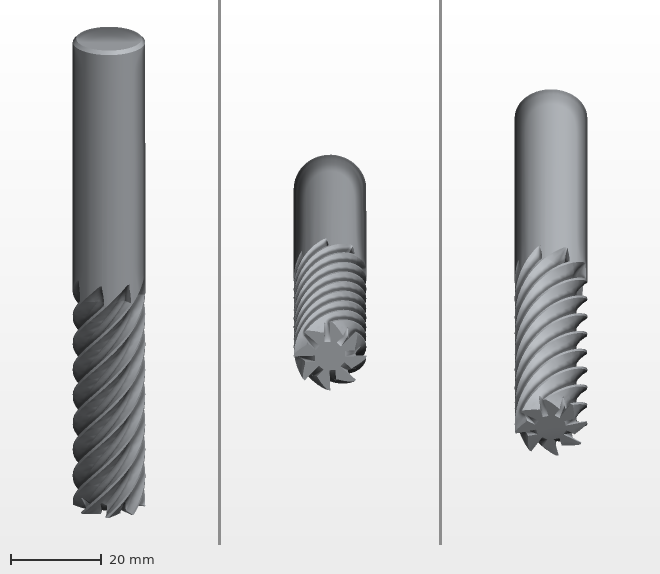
import cadquery as cq
import math

overall_length = 110.0
cutter_diameter = 16.0
cutting_length = 50.0
shank_chamfer = 0.8

flute_count = 8
helix_angle = 45.0

land_angle = 5.5
heel_radius = 6.8
heel_angle = 16.0
root_radius = 5.8
root_angle = 28.0
gullet_radius = 5.6
gullet_angle = 38.0
rake_foot_radius = 5.8
rake_foot_angle = 44.0

gash_inner_radius = 3.3
gash_top_radius = 6.6
gash_width = 1.3
gash_height = 3.0
gash_reach = 0.2
gash_clearance = 0.5

runout_length = 4.5
runout_steps = 4
runout_tip_angle = 4.0
runout_wall_lean = 5.0
runout_clearance = 1.6

cutter_radius = cutter_diameter / 2
flute_pitch = 360.0 / flute_count
lead = math.pi * cutter_diameter / math.tan(math.radians(helix_angle))


def twist_at(height):
    """Angle through which the flutes have turned at a height, in degrees."""
    return 360.0 * height / lead


def polar(radius, angle):
    """Cartesian X and Y of a point given by radius and angle in degrees."""
    turn = math.radians(angle)
    return (radius * math.cos(turn), radius * math.sin(turn))


def around_axis(solid):
    """Copies of a solid, one for each flute."""
    return [solid.rotate((0, 0, 0), (0, 0, 1), flute * flute_pitch) for flute in range(flute_count)]


def make_gash():
    """Slot in the end in front of one tooth, its inner wall sloping outward to the top."""
    outside = cutter_radius + gash_clearance
    profile = [
        (gash_inner_radius, 0),
        (outside, 0),
        (outside, gash_height),
        (gash_top_radius, gash_height),
    ]
    gash = cq.Workplane("XZ", origin=(0, gash_reach, 0)).polyline(profile).close().extrude(gash_width)
    return gash.val()


def make_cutter():
    """Fluted cutting part: the toothed section twisted along the axis, with gashes in its end."""
    section = cq.Workplane("XY").moveTo(*polar(cutter_radius, 0))
    for tooth in range(flute_count):
        start = tooth * flute_pitch
        section = (
            section.threePointArc(
                polar(cutter_radius, start + land_angle / 2),
                polar(cutter_radius, start + land_angle),
            )
            .threePointArc(
                polar(heel_radius, start + heel_angle),
                polar(root_radius, start + root_angle),
            )
            .threePointArc(
                polar(gullet_radius, start + gullet_angle),
                polar(rake_foot_radius, start + rake_foot_angle),
            )
            .lineTo(*polar(cutter_radius, start + flute_pitch))
        )
    body = section.close().twistExtrude(cutting_length, twist_at(cutting_length))
    gashes = around_axis(make_gash())
    return cq.Workplane(body.val().cut(*gashes)).solids()


def runout_section(rise):
    """Flute outline at a fraction of the runout: it narrows toward its back and gets shallower."""
    height = cutting_length + rise * runout_length
    depth_left = 1 - rise**2
    back = twist_at(height) + land_angle
    leaning_wall = twist_at(cutting_length) + flute_pitch - runout_wall_lean * rise**2
    wall = max(leaning_wall, back + runout_tip_angle)
    narrowing = (wall - back) / (flute_pitch - land_angle)

    def place(radius, angle):
        shallow_radius = cutter_radius - (cutter_radius - radius) * depth_left
        x, y = polar(shallow_radius, back + (angle - land_angle) * narrowing)
        return cq.Vector(x, y, height)

    def place_outside(angle):
        x, y = polar(cutter_radius + runout_clearance, angle)
        return cq.Vector(x, y, height)

    back_edge = place(cutter_radius, land_angle)
    heel = place(heel_radius, heel_angle)
    root = place(root_radius, root_angle)
    gullet = place(gullet_radius, gullet_angle)
    rake_foot = place(rake_foot_radius, rake_foot_angle)
    wall_edge = place(cutter_radius, flute_pitch)
    outer_wall = place_outside(wall)
    outer_back = place_outside(back)
    return cq.Wire.assembleEdges(
        [
            cq.Edge.makeThreePointArc(back_edge, heel, root),
            cq.Edge.makeThreePointArc(root, gullet, rake_foot),
            cq.Edge.makeLine(rake_foot, wall_edge),
            cq.Edge.makeLine(wall_edge, outer_wall),
            cq.Edge.makeLine(outer_wall, outer_back),
            cq.Edge.makeLine(outer_back, back_edge),
        ]
    )


def make_runout():
    """Void at the top of one flute, lofted from full depth up to the surface."""
    sections = [runout_section(step / runout_steps) for step in range(runout_steps + 1)]
    return cq.Solid.makeLoft(sections)


def make_shank():
    """Plain round shank with a chamfered top, and the ends of the flutes cut into its bottom."""
    body = (
        cq.Workplane("XY")
        .workplane(offset=cutting_length)
        .circle(cutter_radius)
        .extrude(overall_length - cutting_length)
        .faces(">Z")
        .chamfer(shank_chamfer)
    )
    runouts = around_axis(make_runout())
    return cq.Workplane(body.val().cut(*runouts)).solids()


cutter = make_cutter()
shank = make_shank()

result = cq.Compound.makeCompound([cutter.val(), shank.val()])